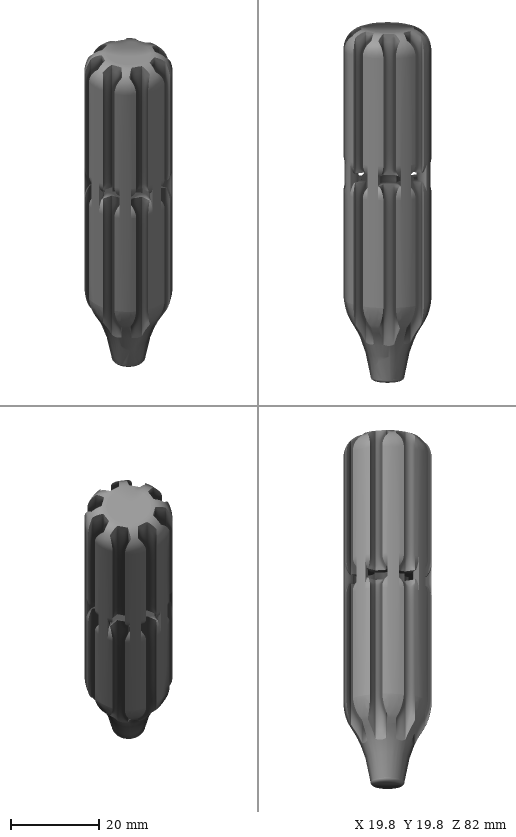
import cadquery as cq
import math

diagonal = math.sin(math.radians(45))

total_length = 82.0
body_radius = 10.0
top_round = 4.9
tip_radius = 3.85
tip_round = 0.8
nose_slope = 0.13
neck_radius = 6.1
neck_height = 9.4
flare_radius = 7.8
flare_height = 12.6
flare_slope = 0.7
shoulder_height = 18.95

groove_count = 8
groove_pitch = 360.0 / groove_count
groove_side = 2.5
groove_offset = 8.1

pocket_height = 48.0
pocket_width = 5.25
dish_round = 3.9
disc_radius = 2.8
disc_offset = 6.6
disc_thickness = 2.2


def make_body():
    top_mid = top_round * diagonal
    top_centre_radius = body_radius - top_round
    top_centre_height = total_length - top_round
    round_drop = tip_round * (1 - diagonal)
    profile = (
        cq.Workplane("XZ")
        .lineTo(tip_radius - tip_round, 0)
        .threePointArc((tip_radius - round_drop, round_drop), (tip_radius, tip_round))
        .spline(
            [(neck_radius, neck_height), (flare_radius, flare_height)],
            tangents=[(nose_slope, 1), (flare_slope, 1)],
            includeCurrent=True,
        )
        .tangentArcPoint((body_radius, shoulder_height), relative=False)
        .lineTo(body_radius, top_centre_height)
        .threePointArc(
            (top_centre_radius + top_mid, top_centre_height + top_mid),
            (top_centre_radius, total_length),
        )
        .lineTo(0, total_length)
        .close()
    )
    return profile.revolve(360, (0, 0, 0), (0, 1, 0))


def around_axis(cutter):
    """Repeat a cutter lying on +X at every groove."""
    copies = cutter
    for i in range(1, groove_count):
        copies = copies.union(cutter.rotate((0, 0, 0), (0, 0, 1), i * groove_pitch))
    return copies


def make_groove():
    return (
        cq.Workplane("XY")
        .center(groove_offset, 0)
        .transformed(rotate=(0, 0, 90))
        .polygon(6, 2 * groove_side)
        .extrude(total_length)
    )


def make_dish():
    """Ring-shaped cut with the grip rounded towards it, kept to the pocket width."""
    reach = 2 * body_radius
    arc_reach = dish_round * diagonal
    floor_radius = body_radius - dish_round
    arc_radius = floor_radius + arc_reach
    arc_height = dish_round - arc_reach
    ring = (
        cq.Workplane("XZ")
        .moveTo(floor_radius, 0)
        .threePointArc((arc_radius, arc_height), (body_radius, dish_round))
        .lineTo(reach, dish_round)
        .lineTo(reach, -dish_round)
        .lineTo(body_radius, -dish_round)
        .threePointArc((arc_radius, -arc_height), (floor_radius, 0))
        .close()
        .revolve(360, (0, 0, 0), (0, 1, 0))
    )
    window = cq.Workplane("XY").box(reach, pocket_width, 2 * dish_round, centered=(False, True, True))
    return ring.intersect(window).translate((0, 0, pocket_height))


def make_disc():
    """Flat round cavity joined to the outside by a slot as wide as the pocket."""
    cavity = cq.Workplane("XY").cylinder(disc_thickness, disc_radius)
    slot = cq.Workplane("XY").box(body_radius, pocket_width, disc_thickness, centered=(False, True, True))
    return cavity.union(slot).translate((disc_offset, 0, pocket_height))


result = make_body()
for cutter in (make_groove(), make_dish(), make_disc()):
    result = result.cut(around_axis(cutter))